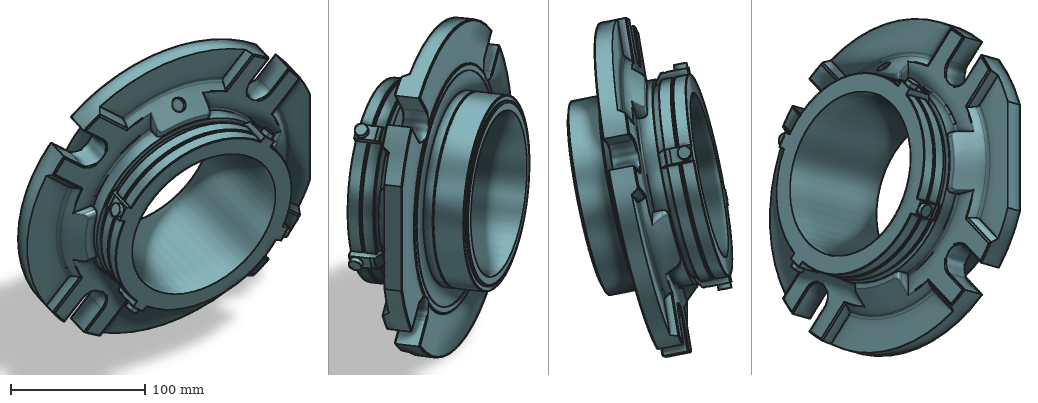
import cadquery as cq
import math


bore_radius = 62.5
nose_tip_radius = 69.77
nose_tip_length = 1.6
nose_tip_chamfer_length = 0.7
nose_tip_chamfer_height = 1.4
nose_radius = 147.48 / 2
nose_edge_chamfer = 0.6
nose_groove_start = 25.4
nose_groove_width = 0.9
nose_groove_radius = 144.41 / 2
pilot_radius = 147.81 / 2

flange_back_x = 33.9
flange_front_x = 47.9
flange_radius = 126.875
flange_flat_y = 120.0
flange_edge_chamfer = 0.8
front_edge_chamfer = 1.0
gasket_back_x = 33.2
gasket_inner_radius = 177.62 / 2
gasket_outer_radius = 94.2
gasket_edge_chamfer = 1.0
gasket_seat_x = 33.5

slot_angles = (45, 135, 225, 315)
slot_width = 24.4
slot_end_center_radius = 104.3
pad_front_x = 54.2
pad_top_half_width = 28.6
pad_bottom_half_width = 33.0
pad_inner_radius = 70.0

cone_apex_x = 147.6
cone_foot_reach = 1.8
hub_radius = 77.6
hub_front_x = 66.8
hub_foot_fillet = 1.8

lands = ((0, 66.0), (90, 66.0), (180, 62.6), (270, 66.0))
land_half_width = 23.0
land_corner_radius = 4.0
land_edge_fillet = 0.8
port_diameter = 11.0
port_axis_x = 57.0
port_depth = 4.0

neck_radius = 147.38 / 2
ring_radius = 153.67 / 2
rings = ((71.7, 81.2), (82.6, 92.58))
collar_end_x = 92.58
ring_chamfer = 0.5

clip_angles = (45, 150, 225, 330)
clip_width = 11.8
clip_top_radius = 81.4
clip_ramp_length = 5.4
clip_ramp_height = 7.2
clip_groove_start = 73.0
clip_groove_end = 76.2
clip_groove_depth = 0.4
screw_diameter = 9.99
screw_head_height = 4.0
screw_x = 87.4


def turned(points):
    """Solid of revolution about X from (x, radius) points, closed on the axis."""
    first_x = points[0][0]
    last_x = points[-1][0]
    outline = [(first_x, 0)] + points + [(last_x, 0)]
    return cq.Workplane("XY").polyline(outline).close().revolve(360, (0, 0), (1, 0))


def cylinder(start_x, end_x, radius):
    return turned([(start_x, radius), (end_x, radius)])


def placed(shape, angle):
    """Swing a shape built in the +Y direction to its angle about X."""
    return shape.rotate((0, 0, 0), (1, 0, 0), angle)


def make_nose():
    groove_end = nose_groove_start + nose_groove_width
    return turned([
        (0, nose_tip_radius - nose_tip_chamfer_height),
        (nose_tip_chamfer_length, nose_tip_radius),
        (nose_tip_length, nose_tip_radius),
        (nose_tip_length, nose_radius - nose_edge_chamfer),
        (nose_tip_length + nose_edge_chamfer, nose_radius),
        (nose_groove_start, nose_radius),
        (nose_groove_start, nose_groove_radius),
        (groove_end, nose_groove_radius),
        (groove_end, pilot_radius),
        (flange_front_x, pilot_radius),
    ])


def flange_outline(start_x, end_x):
    """Disc with one flat on the +Y side."""
    flat_cut = cq.Workplane("XY").box(
        end_x - start_x, flange_radius, 2 * flange_radius, centered=(False, False, True)
    ).translate((start_x, flange_flat_y, 0))
    return cylinder(start_x, end_x, flange_radius).cut(flat_cut)


def make_pad():
    """Raised pad with sloping flanks, running outwards along +Y."""
    return (
        cq.Workplane("XZ", origin=(0, pad_inner_radius, 0))
        .polyline([
            (flange_back_x, -pad_bottom_half_width),
            (flange_front_x, -pad_bottom_half_width),
            (pad_front_x, -pad_top_half_width),
            (pad_front_x, pad_top_half_width),
            (flange_front_x, pad_bottom_half_width),
            (flange_back_x, pad_bottom_half_width),
        ])
        .close()
        .extrude(-flange_radius)
    )


def make_slot():
    """Open-ended bolt slot with a round inner end, running outwards along +Y."""
    depth = pad_front_x - gasket_back_x
    half_width = slot_width / 2
    return (
        cq.Workplane("YZ", origin=(gasket_back_x, 0, 0))
        .moveTo(slot_end_center_radius, half_width)
        .threePointArc(
            (slot_end_center_radius - half_width, 0), (slot_end_center_radius, -half_width)
        )
        .lineTo(2 * flange_radius, -half_width)
        .lineTo(2 * flange_radius, half_width)
        .close()
        .extrude(depth)
    )


def cut_slots(body):
    for angle in slot_angles:
        body = body.cut(placed(make_slot(), angle))
    return body


def make_gasket():
    ring = turned([
        (gasket_back_x, gasket_outer_radius - gasket_edge_chamfer),
        (flange_back_x, gasket_outer_radius),
        (flange_back_x + flange_edge_chamfer, gasket_outer_radius),
    ])
    return ring.cut(cylinder(gasket_back_x, gasket_seat_x, gasket_inner_radius))


def make_cone():
    """Full cone, blended tangentially into the flange front."""
    foot_radius = cone_apex_x - flange_front_x
    foot_blend_radius = cone_foot_reach / math.tan(math.radians(22.5))
    slope_reach = cone_foot_reach * math.sqrt(0.5)
    return (
        cq.Workplane("XY")
        .moveTo(flange_back_x, 0)
        .lineTo(flange_back_x, foot_radius + cone_foot_reach)
        .lineTo(flange_front_x, foot_radius + cone_foot_reach)
        .radiusArc((flange_front_x + slope_reach, foot_radius - slope_reach), -foot_blend_radius)
        .lineTo(hub_front_x, cone_apex_x - hub_front_x)
        .lineTo(hub_front_x, 0)
        .close()
        .revolve(360, (0, 0), (1, 0))
    )


def make_land_block(end_x):
    """Radial block with rounded front corners, running outwards along +Y."""
    return (
        cq.Workplane("XY")
        .box(
            end_x - flange_back_x, flange_radius, 2 * land_half_width, centered=(False, False, True)
        )
        .translate((flange_back_x, 0, 0))
        .edges("|Y and >X")
        .fillet(land_corner_radius)
    )


def make_cone_body():
    """Cone cut back to the pad fronts everywhere but at the lands."""
    kept = cylinder(flange_back_x, pad_front_x, flange_radius)
    for angle, end_x in lands:
        kept = kept.union(placed(make_land_block(end_x), angle))
    body = make_cone().intersect(kept)
    return body.faces("%CONE").edges("not <X").fillet(land_edge_fillet)


def make_flange():
    plate = flange_outline(flange_back_x, flange_front_x)
    pad_limit = flange_outline(flange_back_x, pad_front_x)
    for angle in slot_angles:
        plate = plate.union(placed(make_pad(), angle).intersect(pad_limit))
    plate = cut_slots(plate)
    plate = plate.faces("<X").edges().chamfer(flange_edge_chamfer)
    plate = plate.faces(">X").edges().chamfer(front_edge_chamfer)
    return plate.union(cut_slots(make_cone_body())).union(cut_slots(make_gasket()))


def make_hub():
    hub = cylinder(flange_front_x, hub_front_x, hub_radius)
    foot = (
        cq.Workplane("XY")
        .moveTo(pad_front_x, hub_radius - hub_foot_fillet)
        .lineTo(pad_front_x, hub_radius + hub_foot_fillet)
        .radiusArc((pad_front_x + hub_foot_fillet, hub_radius), -hub_foot_fillet)
        .lineTo(pad_front_x + hub_foot_fillet, hub_radius - hub_foot_fillet)
        .close()
        .revolve(360, (0, 0), (1, 0))
    )
    return hub.union(foot)


def make_port():
    """Hole drilled square to the cone on the +Z land."""
    mouth = cq.Vector(port_axis_x, 0, cone_apex_x - port_axis_x)
    inward = cq.Vector(-1, 0, -1).normalized()
    clearance = port_diameter
    return cq.Workplane(obj=cq.Solid.makeCylinder(
        port_diameter / 2, port_depth + clearance, mouth - inward * clearance, inward
    ))


def make_collar():
    collar = cylinder(flange_front_x, collar_end_x, neck_radius)
    for start_x, end_x in rings:
        collar = collar.union(turned([
            (start_x, ring_radius - ring_chamfer),
            (start_x + ring_chamfer, ring_radius),
            (end_x - ring_chamfer, ring_radius),
            (end_x, ring_radius - ring_chamfer),
        ]))
    return collar


def make_clip():
    """Clip block with a sloped rear end, a shallow groove and a screw head, on the +Y side."""
    ramp_end_x = hub_front_x + clip_ramp_length
    groove_radius = clip_top_radius - clip_groove_depth
    block = (
        cq.Workplane("XY", origin=(0, 0, -clip_width / 2))
        .polyline([
            (hub_front_x, bore_radius),
            (hub_front_x, clip_top_radius - clip_ramp_height),
            (ramp_end_x, clip_top_radius),
            (clip_groove_start, clip_top_radius),
            (clip_groove_start, groove_radius),
            (clip_groove_end, groove_radius),
            (clip_groove_end, clip_top_radius),
            (collar_end_x, clip_top_radius),
            (collar_end_x, bore_radius),
        ])
        .close()
        .extrude(clip_width)
    )
    screw = cq.Workplane(obj=cq.Solid.makeCylinder(
        screw_diameter / 2,
        clip_top_radius + screw_head_height - neck_radius,
        cq.Vector(screw_x, neck_radius, 0),
        cq.Vector(0, 1, 0),
    ))
    return block.union(screw)


def make_part():
    body = make_nose().union(make_flange()).union(make_hub()).union(make_collar())
    body = body.cut(make_port())
    for angle in clip_angles:
        body = body.union(placed(make_clip(), angle))
    return body.cut(cylinder(0, collar_end_x, bore_radius))


result = make_part()